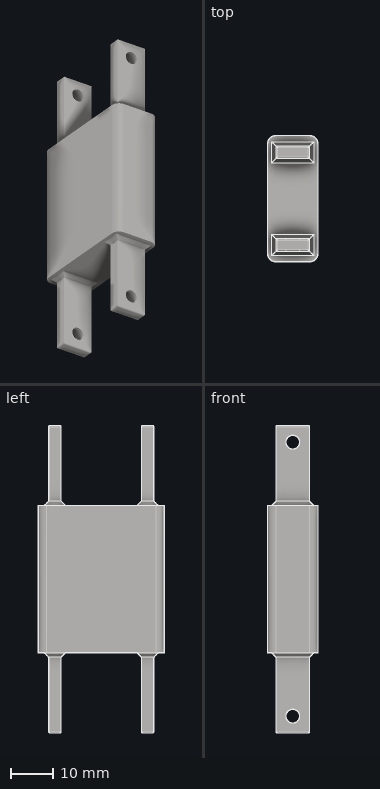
import cadquery as cq

body_width = 12.0
body_depth = 30.0
body_height = 35.0
body_corner_radius = 2.0

total_height = 73.0
blade_width = 8.0
blade_thickness = 3.0
blade_spacing = 22.0
tip_round = 0.4
hole_diameter = 3.2
hole_to_tip = 4.0

collar_height = 1.0
collar_flare = 1.0

body_top = body_height / 2
blade_tip = total_height / 2
blade_positions = (-blade_spacing / 2, blade_spacing / 2)


def make_body():
    """Block centred on the origin."""
    block = cq.Workplane("XY").box(body_width, body_depth, body_height)
    return block.edges("|Z").fillet(body_corner_radius)


def make_blade(y):
    """Blade running through the body, rounded at both tips and drilled near each."""
    blade = (
        cq.Workplane("XY")
        .box(blade_width, blade_thickness, total_height)
        .faces("<Z or >Z")
        .fillet(tip_round)
    )
    hole_height = blade_tip - hole_to_tip
    holes = (
        cq.Workplane("XZ")
        .pushPoints([(0, hole_height), (0, -hole_height)])
        .circle(hole_diameter / 2)
        .extrude(blade_thickness, both=True)
    )
    return blade.cut(holes).translate((0, y, 0))


def make_top_collar(y):
    """Frustum on the upper body face, narrowing to the blade section."""
    return (
        cq.Workplane("XY", origin=(0, y, body_top))
        .rect(blade_width + 2 * collar_flare, blade_thickness + 2 * collar_flare)
        .workplane(offset=collar_height)
        .rect(blade_width, blade_thickness)
        .loft(ruled=True)
    )


result = make_body()
for blade_y in blade_positions:
    top_collar = make_top_collar(blade_y)
    bottom_collar = top_collar.mirror("XY")
    result = result.union(make_blade(blade_y)).union(top_collar).union(bottom_collar)